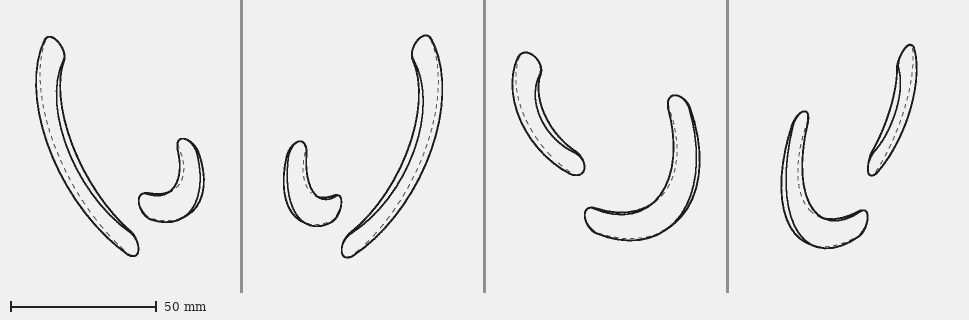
import cadquery as cq
import math

AXIS_X = 10.0
AXIS_Z = 13.35
PAD_WIDTH = 10.0
END_RADIUS = PAD_WIDTH / 2
HALF_SPAN = 60.0

LARGE_OUTER_RADIUS = 50.0
LARGE_DIRECTION = 210
LARGE_THICKNESS = 2.55

SMALL_OUTER_RADIUS = 30.0
SMALL_DIRECTION = -30
SMALL_THICKNESS = 2.4

BLANK_MARGIN = 0.8
BLANK_HALF_SPAN = HALF_SPAN + 4
CREST_STEPS = 8


def polar(radius, angle):
    """Point at a radius and an angle in degrees."""
    return (radius * math.cos(math.radians(angle)), radius * math.sin(math.radians(angle)))


def slot_prism(outer, height):
    """Curved slot with round ends, centred on +X and extruded along Z."""
    middle = outer - END_RADIUS
    inner = outer - PAD_WIDTH
    half_sweep = HALF_SPAN - math.degrees(math.asin(END_RADIUS / middle))
    end = cq.Vector(*polar(middle, half_sweep))
    end_cap = end + cq.Vector(*polar(END_RADIUS, half_sweep + 90))
    start_cap = cq.Vector(end_cap.x, -end_cap.y)
    return (
        cq.Workplane("XY")
        .moveTo(*polar(outer, -half_sweep))
        .threePointArc((outer, 0), polar(outer, half_sweep))
        .threePointArc(end_cap.toTuple()[:2], polar(inner, half_sweep))
        .threePointArc((inner, 0), polar(inner, -half_sweep))
        .threePointArc(start_cap.toTuple()[:2], polar(outer, -half_sweep))
        .close()
        .extrude(height)
    )


def crest_edge(radius, thickness):
    """Arched edge at one radius: full height in the middle, zero at the pad's tips."""
    points = []
    for step in range(-CREST_STEPS, CREST_STEPS + 1):
        angle = BLANK_HALF_SPAN * step / CREST_STEPS
        height = thickness * (1 - (angle / HALF_SPAN) ** 2)
        points.append(cq.Vector(*polar(radius, angle), height))
    return cq.Edge.makeSpline(points)


def base_edge(radius):
    """Flat arc below the arched edge of the same radius."""
    first, middle, last = (
        cq.Vector(*polar(radius, angle), -BLANK_MARGIN)
        for angle in (-BLANK_HALF_SPAN, 0, BLANK_HALF_SPAN)
    )
    return cq.Edge.makeThreePointArc(first, middle, last)


def arched_blank(outer, thickness):
    """Ring sector whose top is ruled radially between two arched edges."""
    inner_radius = outer - PAD_WIDTH - BLANK_MARGIN
    outer_radius = outer + BLANK_MARGIN
    inner_crest = crest_edge(inner_radius, thickness)
    outer_crest = crest_edge(outer_radius, thickness)
    inner_base = base_edge(inner_radius)
    outer_base = base_edge(outer_radius)
    faces = [
        cq.Face.makeRuledSurface(inner_crest, outer_crest),
        cq.Face.makeRuledSurface(inner_base, outer_base),
        cq.Face.makeRuledSurface(inner_base, inner_crest),
        cq.Face.makeRuledSurface(outer_base, outer_crest),
    ]
    for end in (0, 1):
        corners = [
            edge.positionAt(end) for edge in (inner_base, outer_base, outer_crest, inner_crest)
        ]
        faces.append(cq.Face.makeFromWires(cq.Wire.makePolygon(corners, close=True)))
    return cq.Solid.makeSolid(cq.Shell.makeShell(faces)).fix()


def make_pad(outer, direction, thickness):
    """Curved pad, flat towards -Y and arched towards +Y, thinning to nothing at its tips."""
    prism = slot_prism(outer, thickness + BLANK_MARGIN)
    pad = prism.intersect(cq.Workplane(arched_blank(outer, thickness)))
    return (
        pad.rotate((0, 0, 0), (0, 0, 1), direction)
        .rotate((0, 0, 0), (1, 0, 0), 90)
        .mirror("XZ")
        .translate((AXIS_X, 0, AXIS_Z))
    )


large_pad = make_pad(LARGE_OUTER_RADIUS, LARGE_DIRECTION, LARGE_THICKNESS)
small_pad = make_pad(SMALL_OUTER_RADIUS, SMALL_DIRECTION, SMALL_THICKNESS)

result = cq.Compound.makeCompound([large_pad.solids().val(), small_pad.solids().val()])